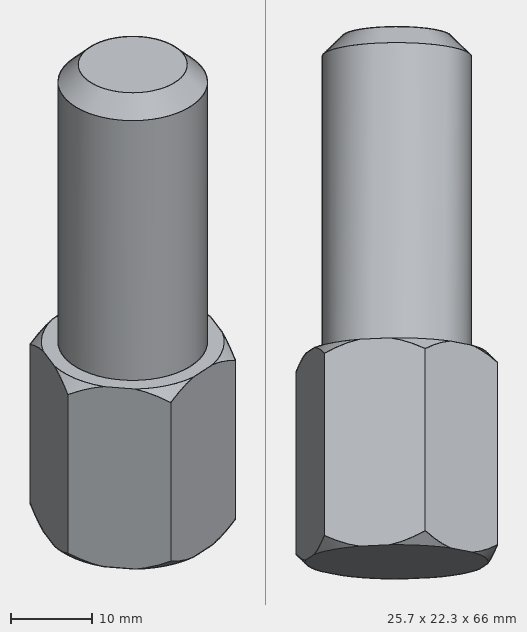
import cadquery as cq
import math

total_height = 66.0
hex_height = 26.0
across_flats = 22.25
hex_chamfer_diameter = 22.6
stud_diameter = 18.5
stud_chamfer = 2.5

across_corners = across_flats / math.cos(math.pi / 6)
corner_chamfer = (across_corners - hex_chamfer_diameter) / 2


def hex_body():
    """Hexagonal base with corners on the X axis, turned at 45 degrees at both ends."""
    hexagon = cq.Workplane("XY").polygon(6, across_corners).extrude(hex_height)
    turned_envelope = (
        cq.Workplane("XY")
        .circle(across_corners / 2)
        .extrude(hex_height)
        .faces("<Z or >Z")
        .chamfer(corner_chamfer)
    )
    return hexagon.intersect(turned_envelope)


def stud():
    """Round stud standing on the base, with a chamfered tip."""
    return (
        cq.Workplane("XY")
        .workplane(offset=hex_height)
        .circle(stud_diameter / 2)
        .extrude(total_height - hex_height)
        .faces(">Z")
        .chamfer(stud_chamfer)
    )


result = hex_body().union(stud())